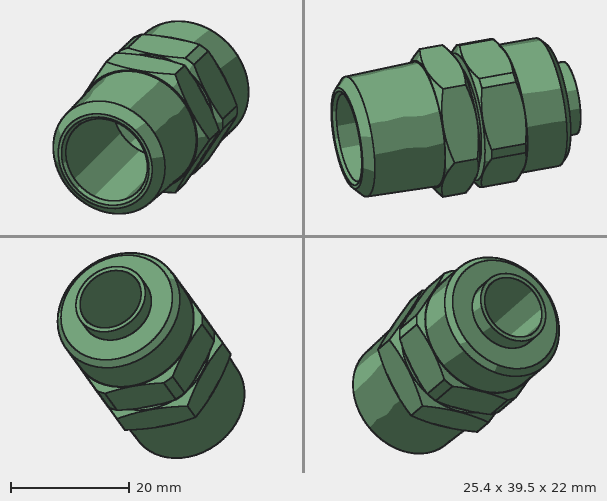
import cadquery as cq
import math

total_length = 39.5
thread_chamfer_end = 1.6
body_hex_start = 13.95
body_hex_end = 20.05
nut_hex_start = 20.97
nut_hex_end = 28.5
nut_end = 36.5

across_flats = 22.0
nut_corner_radius = 12.2
nut_radius = across_flats / 2
nut_chamfer = 1.0
neck_radius = 8.95
tube_radius = 6.25
thread_face_radius = 8.65
thread_small_radius = 10.3
thread_taper = 1 / 16
thread_large_radius = thread_small_radius + (body_hex_start - thread_chamfer_end) * thread_taper / 2

hex_face_radius = 10.9
hex_chamfer_angle = 30.0

bore_radius = 7.5
bore_depth = 20.55
bore_mouth_chamfer = 0.55
drill_point_angle = 118.0
through_radius = 5.5
drill_point_depth = (bore_radius - through_radius) / math.tan(math.radians(drill_point_angle / 2))


def revolve_profile(points):
    """Revolve a closed (radius, y) outline about the Y axis."""
    return cq.Workplane("XY").polyline(points).close().revolve(360, (0, 0, 0), (0, 1, 0))


def chamfered_hex(start, end, corner_radius):
    """Hexagon along Y, flats facing Z, with corners chamfered at both ends."""
    corner_diameter = across_flats / math.cos(math.pi / 6)
    prism = (
        cq.Workplane("XZ", origin=(0, start, 0))
        .polygon(6, corner_diameter)
        .extrude(start - end)
    )
    chamfer_length = (corner_radius - hex_face_radius) * math.tan(math.radians(hex_chamfer_angle))
    envelope = revolve_profile([
        (0, start),
        (hex_face_radius, start),
        (corner_radius, start + chamfer_length),
        (corner_radius, end - chamfer_length),
        (hex_face_radius, end),
        (0, end),
    ])
    return prism.intersect(envelope)


body = revolve_profile([
    (0, 0),
    (thread_face_radius, 0),
    (thread_small_radius, thread_chamfer_end),
    (thread_large_radius, body_hex_start),
    (neck_radius, body_hex_start),
    (neck_radius, nut_hex_end),
    (nut_radius, nut_hex_end),
    (nut_radius, nut_end - nut_chamfer),
    (nut_radius - nut_chamfer, nut_end),
    (tube_radius, nut_end),
    (tube_radius, total_length),
    (0, total_length),
])

body_corner_radius = across_flats / math.sqrt(3)
body_hex = chamfered_hex(body_hex_start, body_hex_end, body_corner_radius)
nut_hex = chamfered_hex(nut_hex_start, nut_hex_end, nut_corner_radius)

bore = revolve_profile([
    (0, 0),
    (bore_radius + bore_mouth_chamfer, 0),
    (bore_radius, bore_mouth_chamfer),
    (bore_radius, bore_depth),
    (through_radius, bore_depth + drill_point_depth),
    (through_radius, total_length),
    (0, total_length),
])

result = body.union(body_hex).union(nut_hex).cut(bore)